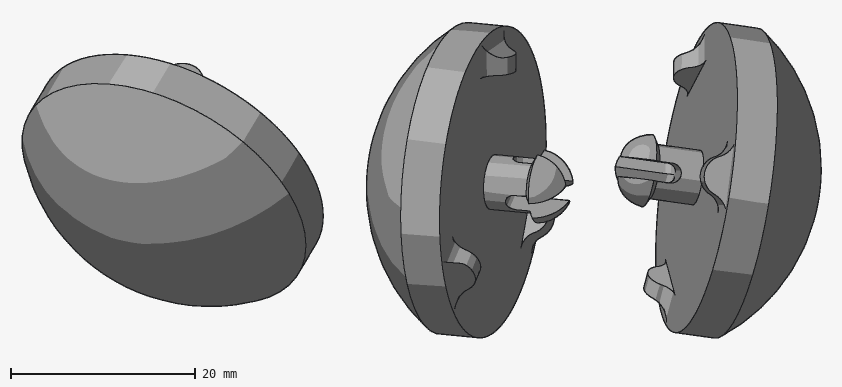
import cadquery as cq
import math

cap_radius = 17.0
rim_thickness = 4.5
dome_height = 8.8

shaft_radius = 3.0
head_radius = 3.98
head_cone_start = 4.93
head_widest = 5.55
head_tip = 9.05
slot_width = 2.18
slot_floor = 2.4

lug_count = 3
lug_height = 2.5
lug_crown_radius = 2.25
lug_flank_radius = 2.0
lug_inner_distance = 12.58
lug_outer_distance = 14.52
lug_outer_fillet = 2.0

overlap = 0.35
full_turn = 360.0


def around_axis(shape, count):
    """Return copies of a shape spaced evenly around the Y axis."""
    step = full_turn / count
    return [shape.rotate((0, 0, 0), (0, 1, 0), i * step) for i in range(count)]


def make_cap():
    """Round disc with a spherical front face."""
    dome_radius = (cap_radius**2 + dome_height**2) / (2 * dome_height)
    front = -rim_thickness - dome_height
    half_angle = math.asin(cap_radius / dome_radius) / 2
    arc_middle = (
        dome_radius * math.sin(half_angle),
        front + dome_radius * (1 - math.cos(half_angle)),
    )
    return (
        cq.Workplane("XY")
        .lineTo(cap_radius, 0)
        .lineTo(cap_radius, -rim_thickness)
        .threePointArc(arc_middle, (0, front))
        .close()
        .revolve(full_turn, (0, 0, 0), (0, 1, 0))
    )


def make_pin():
    """Snap pin: plain shaft with a domed head that tapers back to the shaft."""
    head_height = head_tip - head_widest
    ball_radius = (head_radius**2 + head_height**2) / (2 * head_height)
    half_angle = math.asin(head_radius / ball_radius) / 2
    arc_middle = (
        ball_radius * math.sin(half_angle),
        head_tip - ball_radius * (1 - math.cos(half_angle)),
    )
    return (
        cq.Workplane("XY")
        .moveTo(0, -overlap)
        .lineTo(shaft_radius, -overlap)
        .lineTo(shaft_radius, head_cone_start)
        .lineTo(head_radius, head_widest)
        .threePointArc(arc_middle, (0, head_tip))
        .close()
        .revolve(full_turn, (0, 0, 0), (0, 1, 0))
    )


def make_slot():
    """Cutter for one round-ended slot running from the pin axis toward +Z."""
    half_width = slot_width / 2
    straight_start = slot_floor + half_width
    return (
        cq.Workplane("XY")
        .moveTo(-half_width, head_tip)
        .lineTo(-half_width, straight_start)
        .threePointArc((0, slot_floor), (half_width, straight_start))
        .lineTo(half_width, head_tip)
        .close()
        .extrude(head_radius)
    )


def make_lug():
    """Bell-shaped lug on the +Z side with a flat inner face and a filleted outer face."""
    crown_centre = lug_height - lug_crown_radius
    centre_gap = lug_crown_radius + lug_flank_radius
    centre_rise = lug_flank_radius - crown_centre
    foot = math.sqrt(centre_gap**2 - centre_rise**2)
    crown_share = lug_crown_radius / centre_gap
    join_x = foot * crown_share
    join_y = crown_centre + centre_rise * crown_share
    bell = (
        cq.Workplane("XY", origin=(0, 0, lug_inner_distance))
        .moveTo(-foot, -overlap)
        .lineTo(-foot, 0)
        .radiusArc((-join_x, join_y), -lug_flank_radius)
        .threePointArc((0, lug_height), (join_x, join_y))
        .radiusArc((foot, 0), -lug_flank_radius)
        .lineTo(foot, -overlap)
        .close()
        .extrude(cap_radius - lug_inner_distance)
    )
    fillet_end = lug_outer_distance + lug_outer_fillet
    outline = (
        cq.Workplane("YZ")
        .moveTo(-overlap, lug_inner_distance)
        .lineTo(lug_height, lug_inner_distance)
        .lineTo(lug_height, lug_outer_distance)
        .lineTo(lug_outer_fillet, lug_outer_distance)
        .radiusArc((0, fillet_end), lug_outer_fillet)
        .lineTo(-overlap, fillet_end)
        .close()
        .extrude(foot, both=True)
    )
    return bell.intersect(outline)


pin = make_pin()
for slot in around_axis(make_slot(), lug_count):
    pin = pin.cut(slot)

result = make_cap().union(pin)
for lug in around_axis(make_lug(), lug_count):
    result = result.union(lug)